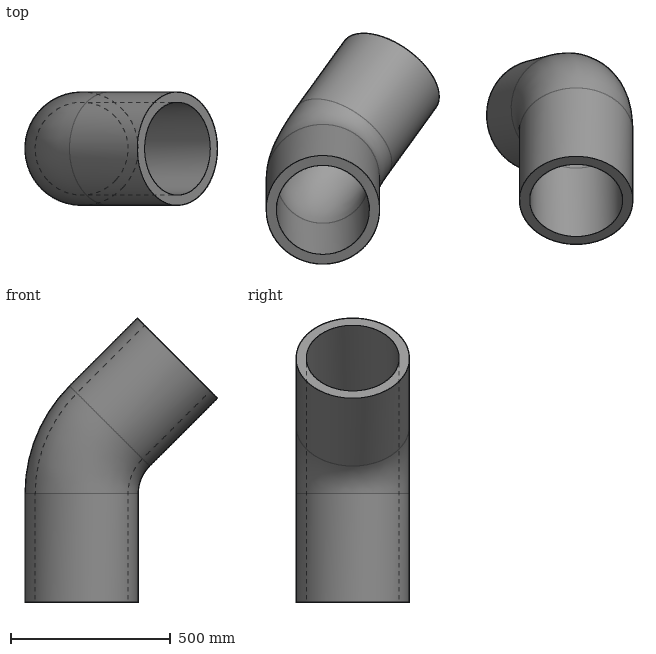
import cadquery as cq
import math

outer_diameter = 355.0
inner_diameter = 290.6
bend_angle = 45.0
lower_leg = 340.0
upper_leg = 300.0
tangent_length = 124.0

angle = math.radians(bend_angle)
bend_radius = tangent_length / math.tan(angle / 2)

bend_end_x = bend_radius * (1 - math.cos(angle))
bend_end_z = lower_leg + bend_radius * math.sin(angle)


def pipe_section():
    """Annular pipe wall section on the XY plane, centred on the origin."""
    return cq.Workplane("XY").circle(outer_diameter / 2).circle(inner_diameter / 2)


def straight_leg(length):
    return pipe_section().extrude(length)


def bend():
    """Elbow turned about an axis parallel to Y, leaning toward +X."""
    elbow = pipe_section().revolve(bend_angle, (bend_radius, 0, 0), (bend_radius, 1, 0))
    return elbow.translate((0, 0, lower_leg))


def tilted_leg():
    """Upper straight leg, tilted by the bend angle and set on the bend's end."""
    leg = straight_leg(upper_leg).rotate((0, 0, 0), (0, 1, 0), bend_angle)
    return leg.translate((bend_end_x, 0, bend_end_z))


result = straight_leg(lower_leg).union(bend()).union(tilted_leg())